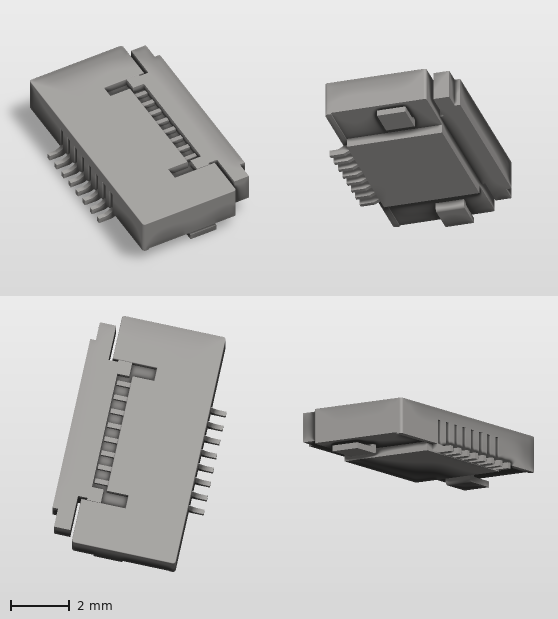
import cadquery as cq


housing_width = 8.1
housing_depth = 3.605
top_z = 1.55
underside_z = 0.36
lip_bottom_z = 0.31
lip_thickness = 0.22
corner_radius = 0.1
top_edge_radius = 0.025

recess_width = 5.01
recess_depth = 0.28
recess_back_y = 2.065
tongue_width = 4.09
tongue_front_y = 2.82
floor_z = top_z - recess_depth

tab_inset = 0.04
tab_outer_x = housing_width / 2 - tab_inset
tab_inner_x = 2.86
tab_thickness = 0.2
tab_top_z = lip_bottom_z
tab_bend_radius = tab_top_z - tab_thickness
tab_width = 1.005
tab_center_y = 2.35

slider_height = 1.01
slider_front_y = 4.495
slider_front_width = 6.03
shoulder_y = 4.3
wing_width = 7.31
wing_back_y = 3.735
neck_width = 4.86
neck_back_y = 3.4
arm_width = 5.005
arm_back_y = 2.925
window_width = 4.05
window_front_y = 3.34

base_width = 4.36
base_bottom_z = 0.05

contact_count = 8
contact_span = 3.5
contact_pitch = contact_span / (contact_count - 1)
contact_thickness = 0.16
tail_end_y = -0.5
tail_height = 0.2
tail_top_bend_y = -0.2
tail_root_z = 0.105
leg_rear_y = 0.08
leg_top_z = 1.14
slot_width = 0.2
finger_drop = 0.12
finger_tip_y = 3.29
finger_top_z = top_z - finger_drop


def box(width, y_range, z_range):
    """Box centred on X = 0."""
    depth = y_range[1] - y_range[0]
    height = z_range[1] - z_range[0]
    return (
        cq.Workplane("XY")
        .box(width, depth, height, centered=(True, False, False))
        .translate((0, y_range[0], z_range[0]))
    )


def contact_positions():
    """X centre of every contact in the row."""
    return [i * contact_pitch - contact_span / 2 for i in range(contact_count)]


def make_contact(x):
    """One contact: tail with a leg up the rear slot, and a finger on the recess floor."""
    tail_and_leg = [
        (tail_end_y, 0),
        (0, 0),
        (lip_thickness, tail_root_z),
        (lip_thickness, leg_top_z),
        (leg_rear_y, leg_top_z),
        (leg_rear_y, underside_z),
        (tail_top_bend_y, tail_height),
        (tail_end_y, tail_height),
    ]
    stamping = (
        cq.Workplane("YZ")
        .polyline(tail_and_leg)
        .close()
        .extrude(contact_thickness / 2, both=True)
    )
    finger = box(contact_thickness, (tongue_front_y, finger_tip_y), (floor_z, finger_top_z))
    return stamping.union(finger).translate((x, 0, 0))


def make_housing():
    """Shell with the top recess and tongue, the rear slots and the rear lip."""
    shell = box(housing_width, (0, housing_depth), (lip_bottom_z, top_z))
    shell = shell.edges("|Z").fillet(corner_radius)

    recess = box(recess_width, (recess_back_y, housing_depth), (floor_z, top_z))
    tongue = box(tongue_width, (recess_back_y, tongue_front_y), (floor_z, top_z))
    shell = shell.cut(recess.cut(tongue))

    side_x = tongue_width / 2
    side_y = (recess_back_y + tongue_front_y) / 2
    tongue_sides = cq.selectors.BoxSelector(
        (-side_x - top_edge_radius, side_y - top_edge_radius, floor_z),
        (side_x + top_edge_radius, side_y + top_edge_radius, top_z + top_edge_radius),
    )
    rounded_edges = shell.faces(">Z").edges(cq.selectors.InverseSelector(tongue_sides))
    shell = rounded_edges.fillet(top_edge_radius)

    lip_relief = box(housing_width, (lip_thickness, housing_depth), (lip_bottom_z, underside_z))
    shell = shell.cut(lip_relief)

    slot = box(slot_width, (0, lip_thickness), (lip_bottom_z, leg_top_z))
    for x in contact_positions():
        shell = shell.cut(slot.translate((x, 0, 0)))
    return shell


def make_slider():
    """Front bar with wings, and a thin plate with two arms lying in the recess."""
    bar_z = (top_z - slider_height, top_z)
    plate_z = (floor_z, top_z)
    bar = box(slider_front_width, (shoulder_y, slider_front_y), bar_z)
    wings = box(wing_width, (wing_back_y, shoulder_y), bar_z)
    neck = box(neck_width, (housing_depth, wing_back_y), bar_z)
    plate = box(neck_width, (neck_back_y, housing_depth), plate_z)
    arms = box(arm_width, (arm_back_y, neck_back_y), plate_z)
    window = box(window_width, (arm_back_y, window_front_y), plate_z)
    return bar.union(wings).union(neck).union(plate).union(arms).cut(window)


def make_connector():
    """Housing, slider, base block and contacts as one solid."""
    base = box(base_width, (lip_thickness, housing_depth), (base_bottom_z, underside_z))
    connector = make_housing().union(make_slider()).union(base)
    for x in contact_positions():
        connector = connector.union(make_contact(x))
    return connector


def make_tab(side):
    """Bent solder tab below the housing; side is -1 or +1 along X."""
    leg_outer_x = tab_inner_x + tab_thickness
    outer_bend_start = (tab_inner_x, tab_bend_radius)
    outer_bend_end = (tab_inner_x + tab_bend_radius, 0)
    inner_bend_start = (leg_outer_x + tab_bend_radius, tab_thickness)
    inner_bend_end = (leg_outer_x, tab_top_z)
    tab = (
        cq.Workplane("XZ", origin=(0, tab_center_y, 0))
        .moveTo(tab_inner_x, tab_top_z)
        .lineTo(*outer_bend_start)
        .radiusArc(outer_bend_end, -tab_bend_radius)
        .lineTo(tab_outer_x, 0)
        .lineTo(tab_outer_x, tab_thickness)
        .lineTo(*inner_bend_start)
        .radiusArc(inner_bend_end, tab_bend_radius)
        .close()
        .extrude(tab_width / 2, both=True)
    )
    return tab if side > 0 else tab.mirror("YZ")


connector = make_connector()
tabs = [make_tab(side).solids().val() for side in (-1, 1)]

result = cq.Compound.makeCompound([connector.solids().val(), *tabs])